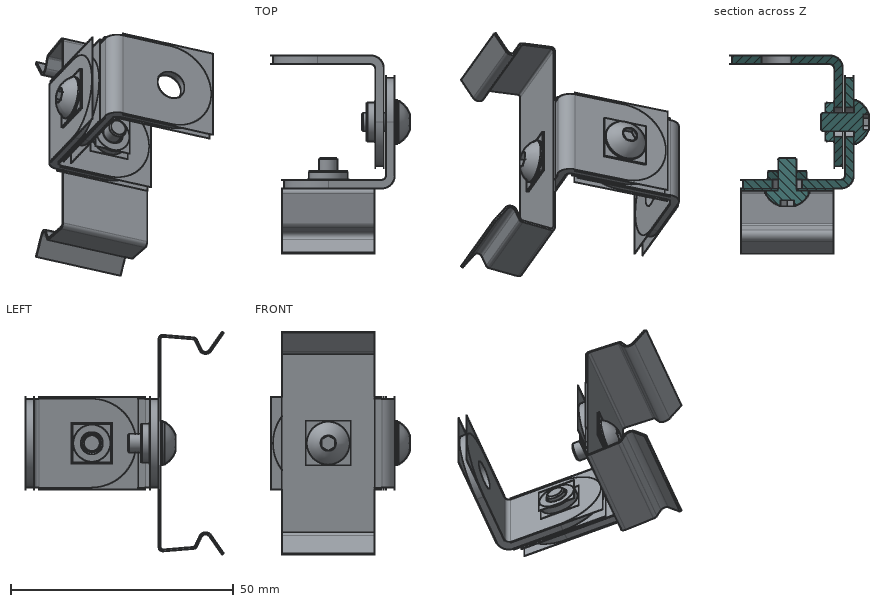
import cadquery as cq
import math


FACING = 0.1

BRACKET_THICKNESS = 2.0
BRACKET_BEND_RADIUS = 1.0
LEG_LENGTH = 15.0
LEG_END_RADIUS = 10.0
FACING_MARGIN = 0.45
BRACKET_HOLE_DIAMETER = 6.65
HINGE_GAP = 0.45

CLIP_WIDTH = 20.9
CLIP_THICKNESS = 0.5
CLIP_CORNER = (0.0, 24.5)
CLIP_SHOULDER = (8.45, 23.8)
CLIP_VALLEY = (10.45, 19.6)
CLIP_TIP = (14.3, 25.1)
CLIP_BEND_RADIUS = 0.5
CLIP_VALLEY_RADIUS = 1.0

SHAFT_RADIUS = 2.1
SHAFT_LENGTH = 7.45
SHAFT_CHAMFER = 0.35
HEAD_RADIUS = 4.8
HEAD_HEIGHT = 3.4
HEAD_RIM_HEIGHT = 0.9
HEAD_FLAT_RADIUS = 1.75
DOME_MID_RADIUS = 3.65
DOME_MID_HEIGHT = 2.3
HEAD_PLATE_SIDE = 10.05
HEAD_COLLAR_HEIGHT = 0.5
SOCKET_ACROSS_FLATS = 3.0
SOCKET_DEPTH = 1.25

NUT_RADIUS = 4.4
NUT_HEIGHT = 2.0
NUT_CHAMFER = 0.35
NUT_BASE_PLATE_SIDE = 9.25
NUT_TOP_PLATE_SIDE = 8.55
NUT_COUNTERSINK = 0.4


def square_plate(side, bottom):
    """Thin square plate centred on the Z axis."""
    return cq.Workplane("XY", origin=(0, 0, bottom)).rect(side, side).extrude(FACING)


def make_leg():
    """Bracket leg along -X from the outer corner at the origin, with its outer face on y = 0."""
    bend_end = BRACKET_THICKNESS + BRACKET_BEND_RADIUS
    plate_end = LEG_LENGTH + LEG_END_RADIUS + FACING_MARGIN
    plate_width = 2 * (LEG_END_RADIUS + FACING_MARGIN)

    def across_leg(shape_width, start, end, y, thickness):
        slab = cq.Workplane("XY").box(end - start, thickness, shape_width, centered=(False, False, True))
        return slab.translate((-end, y, 0))

    face = cq.Workplane("XZ", origin=(-LEG_LENGTH, 0, 0))
    leg = across_leg(2 * LEG_END_RADIUS, bend_end, LEG_LENGTH, 0, BRACKET_THICKNESS)
    leg = leg.union(face.circle(LEG_END_RADIUS).extrude(-BRACKET_THICKNESS))
    for y in (0, BRACKET_THICKNESS - FACING):
        leg = leg.union(across_leg(plate_width, bend_end, plate_end, y, FACING))
    return leg.cut(face.circle(BRACKET_HOLE_DIAMETER / 2).extrude(-BRACKET_THICKNESS))


def make_bracket():
    """L bracket with its outer corner at the origin and legs along -X and +Y."""
    inner = BRACKET_BEND_RADIUS
    outer = BRACKET_BEND_RADIUS + BRACKET_THICKNESS
    diagonal = math.sqrt(0.5)
    bend = (
        cq.Workplane("XY", origin=(-outer, outer, -LEG_END_RADIUS))
        .moveTo(0, -outer)
        .threePointArc((outer * diagonal, -outer * diagonal), (outer, 0))
        .lineTo(inner, 0)
        .threePointArc((inner * diagonal, -inner * diagonal), (0, -inner))
        .close()
        .extrude(2 * LEG_END_RADIUS)
    )
    leg = make_leg()
    other_leg = leg.mirror("YZ").rotate((0, 0, 0), (0, 0, 1), 90)
    return bend.union(leg).union(other_leg)


def offset_corner(before, corner, after, distance):
    """Mitred corner of the path moved sideways, to the right of its direction."""
    heading_in = math.atan2(corner[1] - before[1], corner[0] - before[0])
    heading_out = math.atan2(after[1] - corner[1], after[0] - corner[0])
    half_turn = (heading_out - heading_in) / 2
    normal = (heading_in + heading_out) / 2 - math.pi / 2
    reach = distance / math.cos(half_turn)
    return corner[0] + reach * math.cos(normal), corner[1] + reach * math.sin(normal)


def make_clip():
    """Spring clip bent from one strip, symmetric about z = 0, with a hole for the screw."""
    centre = (0.0, 0.0)
    past_tip = (2 * CLIP_TIP[0] - CLIP_VALLEY[0], 2 * CLIP_TIP[1] - CLIP_VALLEY[1])
    path = [centre, CLIP_CORNER, CLIP_SHOULDER, CLIP_VALLEY, CLIP_TIP, past_tip]
    outer = path[1:-1]
    inner = [offset_corner(*path[i - 1 : i + 2], CLIP_THICKNESS) for i in range(1, len(path) - 1)]

    side = cq.Plane(origin=(CLIP_WIDTH / 2, 0, 0), xDir=(0, -1, 0), normal=(-1, 0, 0))
    outline = [centre, *outer, *reversed(inner), (CLIP_THICKNESS, 0.0)]
    half = cq.Workplane(side).polyline(outline).close().extrude(CLIP_WIDTH)

    small = CLIP_BEND_RADIUS
    valley = CLIP_VALLEY_RADIUS
    bends = [
        (outer[0], small + CLIP_THICKNESS),
        (inner[0], small),
        (outer[1], small + CLIP_THICKNESS),
        (inner[1], small),
        (outer[2], valley),
        (inner[2], valley + CLIP_THICKNESS),
    ]
    for (distance, height), radius in bends:
        half = half.edges(cq.NearestToPointSelector((0, -distance, height))).fillet(radius)

    clip = half.union(half.mirror("XY"))
    return clip.cut(cq.Workplane("XZ").circle(SHAFT_RADIUS).extrude(CLIP_THICKNESS))


def make_screw():
    """Button-head screw on the Z axis, with the head seated on z = 0 and its shaft below."""
    shaft = cq.Workplane("XY").circle(SHAFT_RADIUS).extrude(-SHAFT_LENGTH).faces("<Z").chamfer(SHAFT_CHAMFER)
    head = (
        cq.Workplane("XZ")
        .lineTo(HEAD_RADIUS, 0)
        .lineTo(HEAD_RADIUS, HEAD_RIM_HEIGHT)
        .threePointArc((DOME_MID_RADIUS, DOME_MID_HEIGHT), (HEAD_FLAT_RADIUS, HEAD_HEIGHT))
        .lineTo(0, HEAD_HEIGHT)
        .close()
        .revolve(360, (0, 0, 0), (0, 1, 0))
    )
    socket = (
        cq.Workplane("XY", origin=(0, 0, HEAD_HEIGHT))
        .polygon(6, SOCKET_ACROSS_FLATS, circumscribed=True)
        .extrude(-SOCKET_DEPTH)
    )
    screw = shaft.union(head)
    for bottom in (0, HEAD_COLLAR_HEIGHT - FACING):
        screw = screw.union(square_plate(HEAD_PLATE_SIDE, bottom))
    return screw.cut(socket)


def make_nut():
    """Round nut on the Z axis, seated against z = 0 and reaching down from it."""
    nut = cq.Workplane("XY").circle(NUT_RADIUS).extrude(-NUT_HEIGHT).faces("<Z").chamfer(NUT_CHAMFER)
    nut = nut.union(square_plate(NUT_BASE_PLATE_SIDE, -FACING))
    nut = nut.union(square_plate(NUT_TOP_PLATE_SIDE, -NUT_HEIGHT))
    nut = nut.cut(cq.Workplane("XY").circle(SHAFT_RADIUS).extrude(-NUT_HEIGHT))
    return nut.edges(cq.selectors.RadiusNthSelector(0)).edges("<Z").chamfer(NUT_COUNTERSINK)


def along_clip_axis(fastener):
    """Turn a fastener's head to -Y and seat it on the front of the clip."""
    return fastener.rotate((0, 0, 0), (1, 0, 0), 90).translate((0, -CLIP_THICKNESS, 0))


def along_hinge_axis(fastener):
    """Turn a fastener's head to +X and seat it on the side leg of the front bracket."""
    return fastener.rotate((0, 0, 0), (0, 1, 0), 90).translate((LEG_LENGTH, LEG_LENGTH, 0))


clip = make_clip()

bracket_positions = [
    (0, (LEG_LENGTH, 0, 0)),
    (180, (LEG_LENGTH - BRACKET_THICKNESS - HINGE_GAP, 2 * LEG_LENGTH, 0)),
]
brackets = [
    make_bracket().rotate((0, 0, 0), (1, 0, 0), turn).translate(corner)
    for turn, corner in bracket_positions
]

clip_grip = CLIP_THICKNESS + BRACKET_THICKNESS
hinge_grip = 2 * BRACKET_THICKNESS + HINGE_GAP
screws = []
nuts = []
for place, grip in ((along_clip_axis, clip_grip), (along_hinge_axis, hinge_grip)):
    screws.append(place(make_screw()))
    nuts.append(place(make_nut().translate((0, 0, -grip))))

bodies = [clip, *brackets, *screws, *nuts]
result = cq.Compound.makeCompound([body.val() for body in bodies])